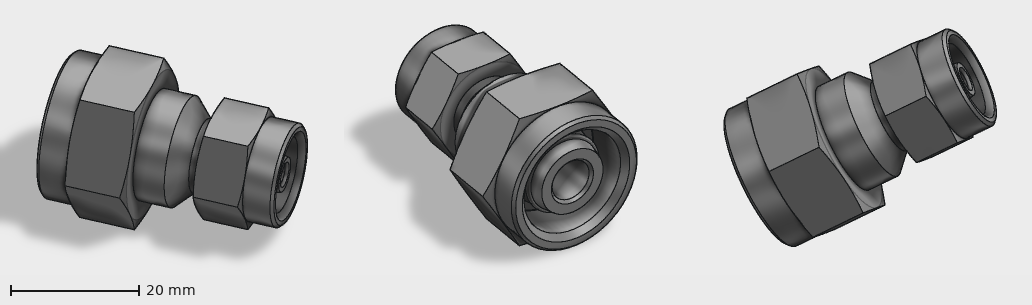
import cadquery as cq
import math


total_length = 37.9
collar_length = 5.0
large_hex_length = 10.0
small_hex_length = 8.05
taper_start = 20.15

large_across_flats = 24.0
small_across_flats = 17.0
large_collar_radius = 11.9
small_collar_radius = 8.38
collar_chamfer = 0.5
hex_chamfer_angle = 15.0
thread_clearance = 0.15
mouth_chamfer = 1.02

large_shaft_radius = 9.0
radius_step = 3.0
small_shaft_radius = large_shaft_radius - radius_step
large_shoulder_depth = 8.5
small_shoulder_depth = 8.5

nose_cone_angle = 12.0
nose_base_inset = 1.6
nose_tip_inset = 3.2
nose_length = (nose_tip_inset - nose_base_inset) / math.tan(math.radians(nose_cone_angle))
seal_position = 2.75
seal_radius = 0.5

passage_radius = 1.5
large_bore_radius = 3.5
bore_cone_angle = 59.0
bore_mouth_chamfer = 0.5
bore_depth = 15.9


def revolve_about_x(profile):
    """Revolve a closed (x, radius) profile about the X axis."""
    return profile.close().revolve(360, (0, 0, 0), (1, 0, 0))


def make_hexagon(across_flats, start, length, bevel_radius):
    """Hexagonal prism with flats facing +Z and -Z, its corners bevelled at both ends."""
    corner_radius = across_flats / math.sqrt(3)
    bevel_length = (corner_radius - bevel_radius) * math.tan(math.radians(hex_chamfer_angle))
    end = start + length
    prism = (
        cq.Workplane("YZ", origin=(start, 0, 0))
        .polygon(6, 2 * corner_radius)
        .extrude(length)
    )
    bevels = revolve_about_x(
        cq.Workplane("XY")
        .moveTo(start, 0)
        .lineTo(start, bevel_radius)
        .lineTo(start + bevel_length, corner_radius)
        .lineTo(end - bevel_length, corner_radius)
        .lineTo(end, bevel_radius)
        .lineTo(end, 0)
    )
    return prism.intersect(bevels)


def make_nut(across_flats, hex_length, collar_radius, shaft_radius, shoulder_depth):
    """Union nut with its mouth at X = 0 and its rear towards +X."""
    nut_length = collar_length + hex_length
    bore_radius = shaft_radius + thread_clearance
    collar = (
        cq.Workplane("YZ")
        .circle(collar_radius)
        .extrude(collar_length)
        .faces("<X")
        .chamfer(collar_chamfer)
    )
    hexagon = make_hexagon(across_flats, collar_length, hex_length, across_flats / 2)
    opening = revolve_about_x(
        cq.Workplane("XY")
        .moveTo(0, 0)
        .lineTo(0, bore_radius + mouth_chamfer)
        .lineTo(mouth_chamfer, bore_radius)
        .lineTo(shoulder_depth, bore_radius)
        .lineTo(shoulder_depth, shaft_radius)
        .lineTo(nut_length, shaft_radius)
        .lineTo(nut_length, 0)
    )
    return collar.union(hexagon).cut(opening)


def make_half_body(shaft_radius, shoulder_depth, shaft_end):
    """Shaft and sealing nose for a nut mouth at X = 0, reaching inward to shaft_end."""
    tip_radius = shaft_radius - nose_tip_inset
    base_radius = shaft_radius - nose_base_inset
    tip = shoulder_depth - nose_length
    slope = math.radians(nose_cone_angle)
    bead_run = seal_radius * math.cos(slope)
    bead_rise = seal_radius * math.sin(slope)
    bead_centre_x = tip + seal_position
    bead_centre_radius = tip_radius + seal_position * math.tan(slope)
    return revolve_about_x(
        cq.Workplane("XY")
        .moveTo(tip, 0)
        .lineTo(tip, tip_radius)
        .lineTo(bead_centre_x - bead_run, bead_centre_radius - bead_rise)
        .threePointArc(
            (bead_centre_x - bead_rise, bead_centre_radius + bead_run),
            (bead_centre_x + bead_run, bead_centre_radius + bead_rise),
        )
        .lineTo(shoulder_depth, base_radius)
        .lineTo(shoulder_depth, shaft_radius)
        .lineTo(shaft_end, shaft_radius)
        .lineTo(shaft_end, 0)
    )


def face_plus_x(shape):
    """Turn a part made for the large end round to the small end."""
    return shape.mirror("YZ").translate((total_length, 0, 0))


def make_passage():
    """Stepped hole along the whole body, chamfered at both nose tips."""
    large_tip = large_shoulder_depth - nose_length
    small_tip = total_length - small_shoulder_depth + nose_length
    bore_end = large_tip + bore_depth
    bore_cone_length = (large_bore_radius - passage_radius) / math.tan(math.radians(bore_cone_angle))
    return revolve_about_x(
        cq.Workplane("XY")
        .moveTo(large_tip, 0)
        .lineTo(large_tip, large_bore_radius + bore_mouth_chamfer)
        .lineTo(large_tip + bore_mouth_chamfer, large_bore_radius)
        .lineTo(bore_end, large_bore_radius)
        .lineTo(bore_end + bore_cone_length, passage_radius)
        .lineTo(small_tip - bore_mouth_chamfer, passage_radius)
        .lineTo(small_tip, passage_radius + bore_mouth_chamfer)
        .lineTo(small_tip, 0)
    )


def make_body():
    """Double-ended body: two noses, two shafts and the 45 degree taper between them."""
    taper_end = taper_start + radius_step
    large_half = make_half_body(large_shaft_radius, large_shoulder_depth, taper_start)
    small_half = make_half_body(small_shaft_radius, small_shoulder_depth, total_length - taper_end)
    taper = revolve_about_x(
        cq.Workplane("XY")
        .moveTo(taper_start, 0)
        .lineTo(taper_start, large_shaft_radius)
        .lineTo(taper_end, small_shaft_radius)
        .lineTo(taper_end, 0)
    )
    return large_half.union(taper).union(face_plus_x(small_half)).cut(make_passage())


body = make_body()
large_nut = make_nut(
    large_across_flats, large_hex_length, large_collar_radius,
    large_shaft_radius, large_shoulder_depth,
)
small_nut = face_plus_x(make_nut(
    small_across_flats, small_hex_length, small_collar_radius,
    small_shaft_radius, small_shoulder_depth,
))

result = cq.Compound.makeCompound([body.val(), large_nut.val(), small_nut.val()])